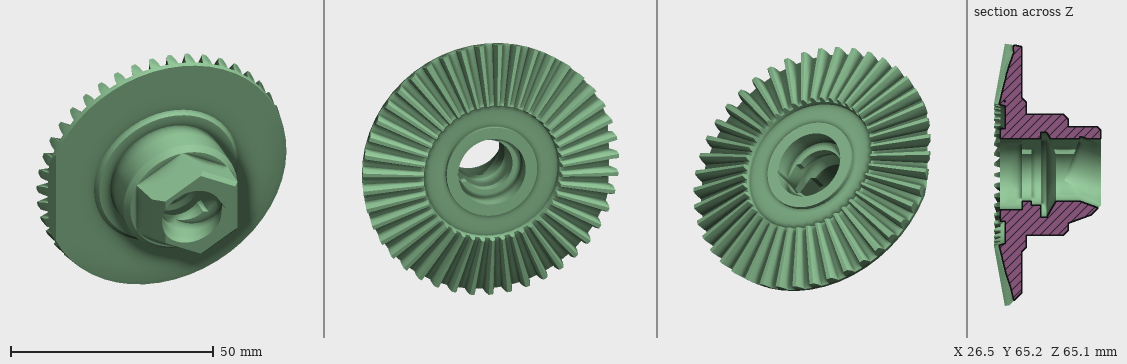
import math

import cadquery as cq


TOOTH_COUNT = 43
PITCH_ANGLE = 360 / TOOTH_COUNT
OUTER_TIP_RADIUS = 32.585
OUTER_TIP_X = 2.7
INNER_TIP_RADIUS = 17.66
TIP_CONE_SLOPE = OUTER_TIP_X / (OUTER_TIP_RADIUS - INNER_TIP_RADIUS)
APEX_X = -TIP_CONE_SLOPE * INNER_TIP_RADIUS
OUTER_END_SLOPE = 0.19
INNER_END_SLOPE = 0.25

GAP_DEPTH = 3.3
GAP_TIP_HALF_WIDTH = 1.87
GAP_MIDDLE_HALF_WIDTH = 1.28
GAP_ROOT_HALF_WIDTH = 1.08
GAP_CLEARANCE = 0.3
GAP_MOUTH_HALF_WIDTH = 2.0
GAP_START_SCALE = 0.45
GAP_END_SCALE = 1.1

DISC_BACK_X = 7.0
RECESS_FLOOR_X = 2.7
FRONT_BOSS_RADIUS = 11.5
FRONT_BOSS_HEIGHT = 1.2
COLLAR_RADIUS = 19.0
COLLAR_END_X = 8.0
HUB_RADIUS = 15.05
HUB_END_X = 18.46
HUB_CHAMFER = 1.35

EDGE_FLAT_Y = 29.1

END_X = 26.5
HEX_APOTHEM = 12.0
HEX_TAPER = 20.0
HEX_CHAMFER = 1.0
HEX_LOW_SIDE_END = 7.46

COUNTERBORE_RADIUS = 8.56
COUNTERBORE_END_X = 6.9
BORE_RADIUS = 6.48
RELIEF_START_X = 9.3
RELIEF_RADIUS = 7.44
RELIEF_END_X = 11.7
GROOVE_RADIUS = 10.5
GROOVE_WIDTH = 1.3
GROOVE_CONE_SLOPE = 0.58
TILTED_BORE_RADIUS = 7.5
TILTED_BORE_ANGLE = 20.0
TILTED_BORE_CROSSING_X = 25.4
TILTED_BORE_LENGTH = 7.0
KEY_TIP_Y = 8.9
KEY_SHOULDER_Y = 6.28
KEY_HALF_WIDTH = 4.0


def revolve_about_x(points):
    """Turn a closed (x, radius) outline about the X axis."""
    return cq.Workplane("XZ").polyline(points).close().revolve(360, (0, 0, 0), (1, 0, 0))


def make_blank():
    front_boss_x = RECESS_FLOOR_X - FRONT_BOSS_HEIGHT
    return revolve_about_x([
        (front_boss_x, 0),
        (front_boss_x, FRONT_BOSS_RADIUS),
        (RECESS_FLOOR_X, FRONT_BOSS_RADIUS),
        (RECESS_FLOOR_X, INNER_TIP_RADIUS - INNER_END_SLOPE * RECESS_FLOOR_X),
        (0, INNER_TIP_RADIUS),
        (OUTER_TIP_X, OUTER_TIP_RADIUS),
        (DISC_BACK_X, OUTER_TIP_RADIUS - OUTER_END_SLOPE * (DISC_BACK_X - OUTER_TIP_X)),
        (DISC_BACK_X, COLLAR_RADIUS),
        (COLLAR_END_X, COLLAR_RADIUS - (COLLAR_END_X - DISC_BACK_X)),
        (COLLAR_END_X, HUB_RADIUS),
        (HUB_END_X - HUB_CHAMFER, HUB_RADIUS),
        (HUB_END_X, HUB_RADIUS - HUB_CHAMFER),
        (HUB_END_X, 0),
    ])


def gap_section(scale):
    """Gap outline at the top of the gear, shrunk towards the apex by `scale`."""
    def point(half_width, depth):
        return (APEX_X + scale * (OUTER_TIP_X + depth - APEX_X), scale * half_width)

    tip, middle, root = [
        point(GAP_TIP_HALF_WIDTH, 0),
        point(GAP_MIDDLE_HALF_WIDTH, GAP_DEPTH / 2),
        point(GAP_ROOT_HALF_WIDTH, GAP_DEPTH),
    ]
    far_tip, far_middle, far_root = [(x, -y) for x, y in (tip, middle, root)]
    mouth, far_mouth = [point(side * GAP_MOUTH_HALF_WIDTH, -GAP_CLEARANCE) for side in (1, -1)]
    return (
        cq.Workplane("XY", origin=(0, 0, scale * OUTER_TIP_RADIUS))
        .moveTo(*mouth)
        .lineTo(*tip)
        .threePointArc(middle, root)
        .lineTo(*far_root)
        .threePointArc(far_middle, far_tip)
        .lineTo(*far_mouth)
        .close()
        .wires()
        .val()
    )


def cut_teeth(gear):
    sections = [gap_section(GAP_START_SCALE), gap_section(GAP_END_SCALE)]
    gap = cq.Solid.makeLoft(sections, True)
    origin = cq.Vector(0, 0, 0)
    axis = cq.Vector(1, 0, 0)
    gaps = [gap.rotate(origin, axis, i * PITCH_ANGLE) for i in range(TOOTH_COUNT)]
    return cq.Workplane(gear.val().cut(*gaps))


def cut_edge_flat(gear):
    front_y = EDGE_FLAT_Y + DISC_BACK_X
    wedge = (
        cq.Workplane("XY")
        .polyline([(0, -front_y), (DISC_BACK_X, -EDGE_FLAT_Y), (DISC_BACK_X, -front_y)])
        .close()
        .extrude(OUTER_TIP_RADIUS, both=True)
    )
    return gear.cut(wedge)


def hex_side(outline, angle):
    """Part of the hexagonal end that lies inside one side; `outline` gives (x, apothem) of that side."""
    points = [(HUB_END_X, -HUB_RADIUS)] + outline + [(END_X, -HUB_RADIUS)]
    return (
        cq.Workplane("XY")
        .polyline(points)
        .close()
        .extrude(HUB_RADIUS, both=True)
        .rotate((0, 0, 0), (1, 0, 0), angle)
    )


def make_hex_end():
    taper = math.tan(math.radians(HEX_TAPER))
    full_taper = taper * (END_X - HUB_END_X)
    straight = [
        (HUB_END_X, HEX_APOTHEM),
        (END_X - HEX_CHAMFER, HEX_APOTHEM),
        (END_X, HEX_APOTHEM - HEX_CHAMFER),
    ]
    tapered = [(HUB_END_X, HEX_APOTHEM), (END_X, HEX_APOTHEM - full_taper)]
    low_chamfer = (HEX_APOTHEM - full_taper - HEX_LOW_SIDE_END) / (1 - taper)
    low_side = [
        (HUB_END_X, HEX_APOTHEM),
        (END_X - low_chamfer, HEX_LOW_SIDE_END + low_chamfer),
        (END_X, HEX_LOW_SIDE_END),
    ]
    hex_end = hex_side(straight, 0)
    other_sides = [(straight, 60), (straight, -60), (tapered, 120), (tapered, -120), (low_side, 180)]
    for outline, angle in other_sides:
        hex_end = hex_end.intersect(hex_side(outline, angle))
    return hex_end


def cut_bore(gear):
    cone_start_x = RELIEF_END_X + GROOVE_WIDTH
    bore = revolve_about_x([
        (0, 0),
        (0, COUNTERBORE_RADIUS),
        (COUNTERBORE_END_X, COUNTERBORE_RADIUS),
        (COUNTERBORE_END_X, BORE_RADIUS),
        (RELIEF_START_X, BORE_RADIUS),
        (RELIEF_START_X, RELIEF_RADIUS),
        (RELIEF_END_X, RELIEF_RADIUS),
        (RELIEF_END_X, GROOVE_RADIUS),
        (cone_start_x, GROOVE_RADIUS),
        (cone_start_x + GROOVE_CONE_SLOPE * (GROOVE_RADIUS - BORE_RADIUS), BORE_RADIUS),
        (END_X, BORE_RADIUS),
        (END_X, 0),
    ])
    tilted_bore = (
        cq.Workplane("YZ")
        .circle(TILTED_BORE_RADIUS)
        .extrude(TILTED_BORE_LENGTH + END_X)
        .translate((-TILTED_BORE_LENGTH, 0, 0))
        .rotate((0, 0, 0), (0, 0, 1), -TILTED_BORE_ANGLE)
        .translate((TILTED_BORE_CROSSING_X, 0, 0))
    )
    key = (
        cq.Workplane("YZ")
        .polyline([
            (0, KEY_HALF_WIDTH),
            (KEY_SHOULDER_Y, KEY_HALF_WIDTH),
            (KEY_TIP_Y, 0),
            (KEY_SHOULDER_Y, -KEY_HALF_WIDTH),
            (0, -KEY_HALF_WIDTH),
        ])
        .close()
        .extrude(END_X)
    )
    return gear.cut(bore).cut(tilted_bore).cut(key)


body = make_blank().union(make_hex_end())
body = cut_bore(cut_edge_flat(body))
result = cut_teeth(body)